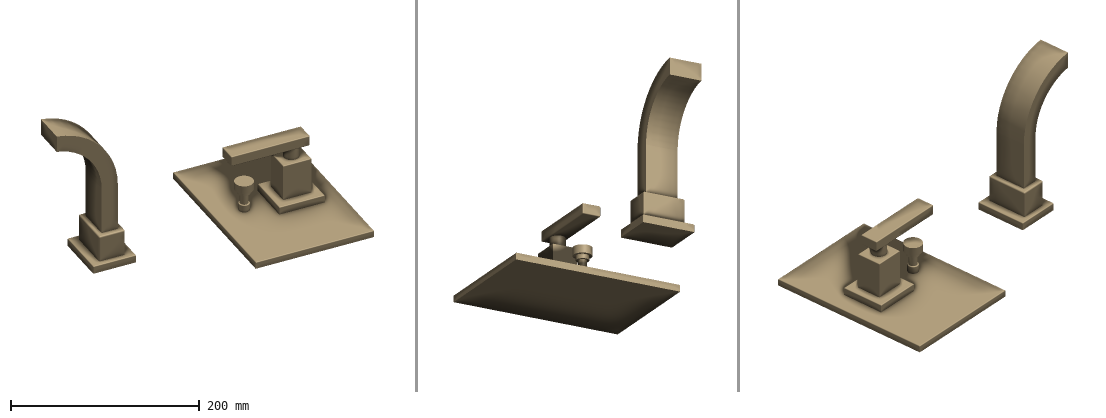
import cadquery as cq
import math

TOTAL_LENGTH = 335.5
TOTAL_HEIGHT = 176.5
EDGE_ROUND = 1.0

PLATE_WIDTH = 197.0
PLATE_LENGTH = 140.0
PLATE_TOP = 8.0
VALVE_Y = 20.8
ESCUTCHEON_WIDTH = 51.5
ESCUTCHEON_LENGTH = 53.5
ESCUTCHEON_TOP = 17.0
BLOCK_WIDTH = 29.5
BLOCK_LENGTH = 33.5
BLOCK_TOP = 59.7
STEM_DIAMETER = 17.5
LEVER_WIDTH = 21.5
LEVER_LENGTH = 93.0
LEVER_BOTTOM = 73.8
LEVER_TOP = 86.0
LEVER_Y = VALVE_Y + (BLOCK_LENGTH - LEVER_LENGTH) / 2

DIVERTER_Y = -35.0
DIVERTER_FOOT_DIAMETER = 12.5
DIVERTER_FOOT_TOP = 16.8
DIVERTER_FOOT_ROUND = 0.7
DIVERTER_STEPS = [
    (9.5, 29.2),
    (14.5, 34.2),
    (21.0, 43.5),
]

SPOUT_Y = -203.0
FOOT_WIDTH = 61.7
FOOT_LENGTH = 50.5
FOOT_TOP = 9.0
SLEEVE_WIDTH = 49.5
SLEEVE_LENGTH = 31.0
SLEEVE_TOP = 40.0
SLEEVE_ROUND = 1.7
NECK_WIDTH = 38.0
NECK_THICKNESS = 19.0
BEND_START = 96.0
SPOUT_END_Y = PLATE_LENGTH / 2 - TOTAL_LENGTH


def block(width, length, bottom, top, y):
    """Upright box centred on X = 0 and on the given Y."""
    return cq.Workplane("XY", origin=(0, y, bottom)).rect(width, length).extrude(top - bottom)


def disc(diameter, bottom, top, y):
    """Upright cylinder centred on X = 0 and on the given Y."""
    return cq.Workplane("XY", origin=(0, y, bottom)).circle(diameter / 2).extrude(top - bottom)


def make_lever():
    lever = block(LEVER_WIDTH, LEVER_LENGTH, LEVER_BOTTOM, LEVER_TOP, LEVER_Y)
    return lever.edges().fillet(EDGE_ROUND)


def make_diverter():
    diverter = disc(DIVERTER_FOOT_DIAMETER, 0, DIVERTER_FOOT_TOP, DIVERTER_Y)
    diverter = diverter.faces(">Z").edges().fillet(DIVERTER_FOOT_ROUND)
    bottom = DIVERTER_FOOT_TOP
    for diameter, top in DIVERTER_STEPS:
        diverter = diverter.union(disc(diameter, bottom, top, DIVERTER_Y))
        bottom = top
    return diverter


def make_control():
    plate = block(PLATE_WIDTH, PLATE_LENGTH, 0, PLATE_TOP, 0)
    plate = plate.faces(">Z").edges().fillet(EDGE_ROUND)
    escutcheon = block(ESCUTCHEON_WIDTH, ESCUTCHEON_LENGTH, 0, ESCUTCHEON_TOP, VALVE_Y)
    escutcheon = escutcheon.faces(">Z").edges().fillet(EDGE_ROUND)
    valve_block = block(BLOCK_WIDTH, BLOCK_LENGTH, 0, BLOCK_TOP, VALVE_Y)
    valve_block = valve_block.faces(">Z").edges().fillet(EDGE_ROUND)
    stem = disc(STEM_DIAMETER, BLOCK_TOP, LEVER_BOTTOM, VALVE_Y)
    control = plate.union(escutcheon).union(valve_block).union(stem)
    return control.union(make_lever()).union(make_diverter())


def make_neck():
    """Straight neck with a tangent bend toward -Y, cut off by a vertical face."""
    back_y = SPOUT_Y + NECK_THICKNESS / 2
    front_y = SPOUT_Y - NECK_THICKNESS / 2
    reach = back_y - SPOUT_END_Y
    rise = TOTAL_HEIGHT - BEND_START
    outer_radius = (reach**2 + rise**2) / (2 * reach)
    inner_radius = outer_radius - NECK_THICKNESS
    center_y = back_y - outer_radius
    end_offset = SPOUT_END_Y - center_y
    end_bottom = BEND_START + math.sqrt(inner_radius**2 - end_offset**2)
    half_sweep = math.acos(end_offset / outer_radius) / 2
    inner_half_sweep = math.acos(end_offset / inner_radius) / 2

    def bend_point(radius, angle):
        return (center_y + radius * math.cos(angle), BEND_START + radius * math.sin(angle))

    profile = (
        cq.Workplane("YZ")
        .moveTo(back_y, 0)
        .lineTo(back_y, BEND_START)
        .threePointArc(bend_point(outer_radius, half_sweep), (SPOUT_END_Y, TOTAL_HEIGHT))
        .lineTo(SPOUT_END_Y, end_bottom)
        .threePointArc(bend_point(inner_radius, inner_half_sweep), (front_y, BEND_START))
        .lineTo(front_y, 0)
        .close()
    )
    return profile.extrude(NECK_WIDTH / 2, both=True)


def make_spout():
    foot = block(FOOT_WIDTH, FOOT_LENGTH, 0, FOOT_TOP, SPOUT_Y)
    foot = foot.edges("|Z or >Z").fillet(EDGE_ROUND)
    sleeve = block(SLEEVE_WIDTH, SLEEVE_LENGTH, 0, SLEEVE_TOP, SPOUT_Y)
    sleeve = sleeve.edges("|Z or >Z").fillet(SLEEVE_ROUND)
    return foot.union(sleeve).union(make_neck())


control = make_control()
spout = make_spout()
result = cq.Compound.makeCompound([control.val(), spout.val()])